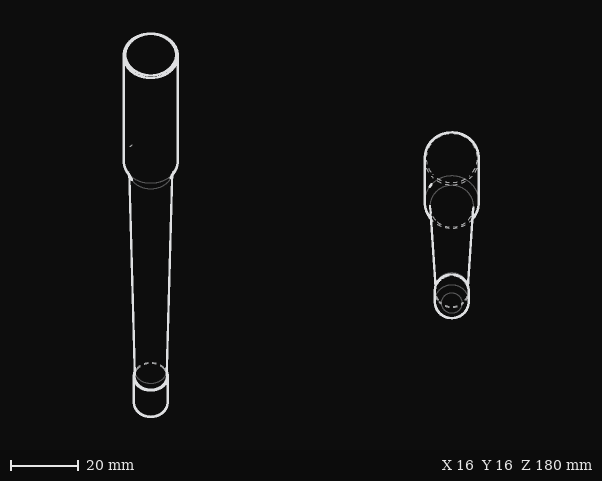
import cadquery as cq

total_length = 180.0

head_diameter = 10.0
head_length = 15.0
corner_radius = 2.0

neck_diameter = 9.5
neck_length = 3.2
taper_top_diameter = 12.8
shoulder_height = 5.2
grip_diameter = 16.0
grip_length = 54.5
grip_chamfer = 0.5


def cutting_head():
    """Plain cylinder with a rounded bottom edge."""
    return (
        cq.Workplane("XY")
        .circle(head_diameter / 2)
        .extrude(head_length)
        .faces("<Z")
        .edges()
        .fillet(corner_radius)
    )


def shank():
    """Revolved body that stands on the flat top of the cutting head."""
    neck_top = head_length + neck_length
    grip_bottom = total_length - grip_length
    taper_top = grip_bottom - shoulder_height
    return (
        cq.Workplane("XZ")
        .moveTo(0, head_length)
        .lineTo(neck_diameter / 2, head_length)
        .lineTo(neck_diameter / 2, neck_top)
        .lineTo(taper_top_diameter / 2, taper_top)
        .lineTo(grip_diameter / 2, grip_bottom)
        .lineTo(grip_diameter / 2, total_length - grip_chamfer)
        .lineTo(grip_diameter / 2 - grip_chamfer, total_length)
        .lineTo(0, total_length)
        .close()
        .revolve(360, (0, 0), (0, 1))
    )


head_body = cutting_head()
shank_body = shank()
result = cq.Compound.makeCompound([head_body.val(), shank_body.val()])